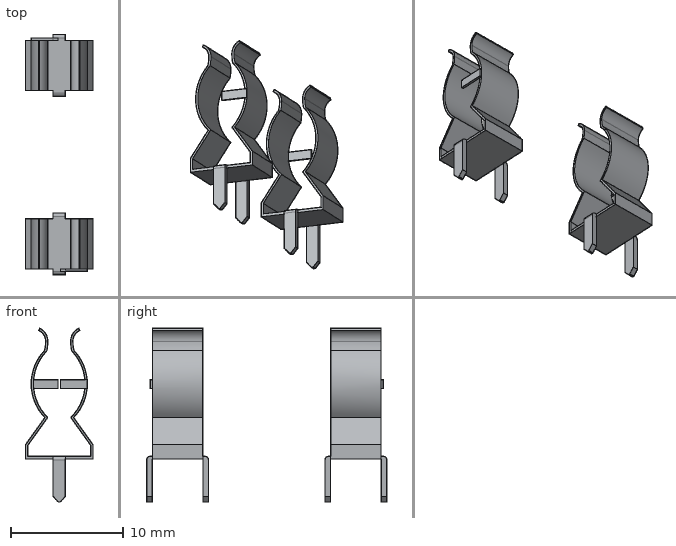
import cadquery as cq
import math

overall_length = 21.43
clip_width = 4.5
pin_thickness = 0.51
clip_pitch = overall_length - clip_width - 2 * pin_thickness

strip_thickness = 0.21
base_thickness = 0.25
base_width = 6.02
base_half_width = base_width / 2
wall_height = 1.29
wall_inner_drop = 0.06

cradle_height = 6.69
cradle_half_height = 2.98
cradle_half_width = 2.5
lower_waist_outer = 1.29
lower_waist_inner = 1.03
upper_waist_outer = 1.33
upper_waist_inner = 1.1
cradle_bottom = cradle_height - cradle_half_height
cradle_top = cradle_height + cradle_half_height

neck_outer = 1.22
neck_inner = neck_outer - strip_thickness
curl_radius = 1.07
curl_angle = 65.0
curl_height = 10.5
curl_center_x = neck_outer + curl_radius

tab_height = 0.81
tab_gap = 0.1
tab_thickness = 0.204

pin_width = 1.11
pin_length = 3.84
pin_taper_height = 0.51
pin_tip_width = 0.17
pin_bend_radius = 0.32


def curl_point(radius, angle):
    """Point on the lip curl, with the angle in degrees measured up from the neck."""
    turn = math.radians(angle)
    return (curl_center_x - radius * math.cos(turn), curl_height + radius * math.sin(turn))


def neck_midpoint(waist_x, neck_x):
    """Middle of the shallow neck arc that turns vertical where the curl starts."""
    rise = curl_height - cradle_top
    step = waist_x - neck_x
    radius = (rise**2 + step**2) / (2 * step)
    half_turn = math.asin(rise / radius) / 2
    return (neck_x + radius * (1 - math.cos(half_turn)), curl_height - radius * math.sin(half_turn))


def make_arm():
    """Spring arm on the +X side: wall, sloped leg, curved cradle, neck and flared lip."""
    wall_inner = base_half_width - strip_thickness
    cradle_inner = cradle_half_width - strip_thickness
    curl_inner_radius = curl_radius + strip_thickness
    return (
        cq.Workplane("XZ", origin=(0, clip_width / 2, 0))
        .moveTo(base_half_width, 0)
        .lineTo(base_half_width, wall_height)
        .lineTo(lower_waist_outer, cradle_bottom)
        .threePointArc((cradle_half_width, cradle_height), (upper_waist_outer, cradle_top))
        .threePointArc(neck_midpoint(upper_waist_outer, neck_outer), (neck_outer, curl_height))
        .threePointArc(curl_point(curl_radius, curl_angle / 2), curl_point(curl_radius, curl_angle))
        .lineTo(*curl_point(curl_inner_radius, curl_angle))
        .threePointArc(curl_point(curl_inner_radius, curl_angle / 2), (neck_inner, curl_height))
        .threePointArc(neck_midpoint(upper_waist_inner, neck_inner), (upper_waist_inner, cradle_top))
        .threePointArc((cradle_inner, cradle_height), (lower_waist_inner, cradle_bottom))
        .lineTo(wall_inner, wall_height - wall_inner_drop)
        .lineTo(wall_inner, 0)
        .close()
        .extrude(clip_width)
    )


def make_pin():
    """Pin with a pointed end and a rounded shoulder, on the -Y edge of the base."""
    half = pin_width / 2
    tip_half = pin_tip_width / 2
    taper_start = pin_taper_height - pin_length
    return (
        cq.Workplane("XZ", origin=(0, -clip_width / 2, 0))
        .moveTo(-half, base_thickness)
        .lineTo(half, base_thickness)
        .lineTo(half, taper_start)
        .lineTo(tip_half, -pin_length)
        .lineTo(-tip_half, -pin_length)
        .lineTo(-half, taper_start)
        .close()
        .extrude(pin_thickness)
        .faces(">Z")
        .edges("<Y")
        .fillet(pin_bend_radius)
    )


def make_base():
    """Flat floor joining the two arms."""
    return cq.Workplane("XY").box(
        base_width, clip_width, base_thickness, centered=(True, True, False)
    )


def make_tab():
    """Stop tab folded across the -Y opening from the +X arm."""
    return cq.Workplane("XY").box(
        cradle_half_width - tab_gap, tab_thickness, tab_height, centered=(False, False, True)
    ).translate((tab_gap, -clip_width / 2 - tab_thickness, cradle_height))


def make_clip():
    """One fuse clip centred on the Z axis, with its stop tab on the -Y side."""
    arm = make_arm()
    pin = make_pin()
    return (
        make_base()
        .union(arm)
        .union(arm.mirror("YZ"))
        .union(pin)
        .union(pin.mirror("XZ"))
        .union(make_tab())
    )


clips = []
for turn_angle in (0, 180):
    clip = make_clip().translate((0, -clip_pitch / 2, 0))
    clips.append(clip.rotate((0, 0, 0), (0, 0, 1), turn_angle).val())

result = cq.Compound.makeCompound(clips)